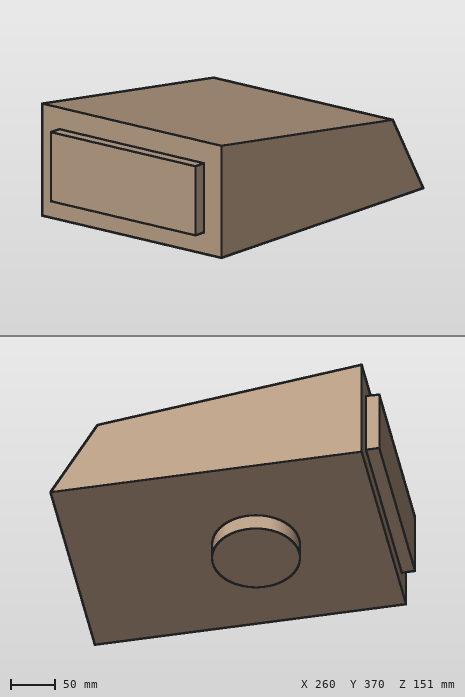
import cadquery as cq

body_width = 260.0
body_length = 355.0
front_height = 131.0
rear_edge_height = 92.0
rear_slope_run = 53.5

panel_margin = 25.0
panel_thickness = 15.0
panel_width = body_width - 2 * panel_margin
panel_height = front_height - 2 * panel_margin

boss_diameter = 98.5
boss_height = 20.0
boss_setback = 145.8


def make_housing():
    """Side profile with a sloping top and a raked rear face."""
    return (
        cq.Workplane("YZ")
        .moveTo(0, 0)
        .lineTo(body_length, 0)
        .lineTo(body_length - rear_slope_run, rear_edge_height)
        .lineTo(0, front_height)
        .close()
        .extrude(body_width / 2, both=True)
    )


def make_panel():
    """Rectangular plate standing proud of the front face."""
    return (
        cq.Workplane("XZ")
        .center(0, front_height / 2)
        .rect(panel_width, panel_height)
        .extrude(panel_thickness)
    )


def make_boss():
    """Cylinder projecting below the underside."""
    return (
        cq.Workplane("XY")
        .center(0, boss_setback)
        .circle(boss_diameter / 2)
        .extrude(-boss_height)
    )


result = make_housing().union(make_panel()).union(make_boss())